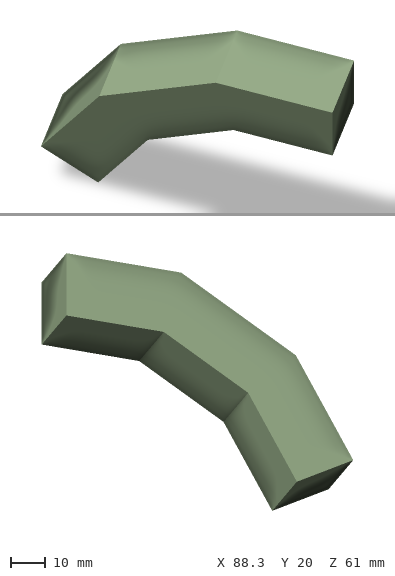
import cadquery as cq
import math

overall_length = 88.3
bar_size = 20.0
bend_angle = 30.0

mitre_extra = 2 * bar_size * math.tan(math.radians(bend_angle / 2))

leg_angles = [2 * bend_angle, bend_angle, 0.0]
leg_cosines = [math.cos(math.radians(angle)) for angle in leg_angles]

mitre_halves = [1, 2, 1]
mitre_span = sum(
    halves * mitre_extra / 2 * cosine
    for halves, cosine in zip(mitre_halves, leg_cosines)
)
inner_leg = (overall_length - mitre_span) / sum(leg_cosines)
outer_end_leg = inner_leg + mitre_extra / 2
outer_middle_leg = inner_leg + mitre_extra

result = (
    cq.Workplane("XZ")
    .polarLine(outer_end_leg, leg_angles[0])
    .polarLine(outer_middle_leg, leg_angles[1])
    .polarLine(outer_end_leg, leg_angles[2])
    .polarLine(bar_size, -90)
    .polarLine(inner_leg, leg_angles[2] + 180)
    .polarLine(inner_leg, leg_angles[1] + 180)
    .polarLine(inner_leg, leg_angles[0] + 180)
    .close()
    .extrude(bar_size / 2, both=True)
)